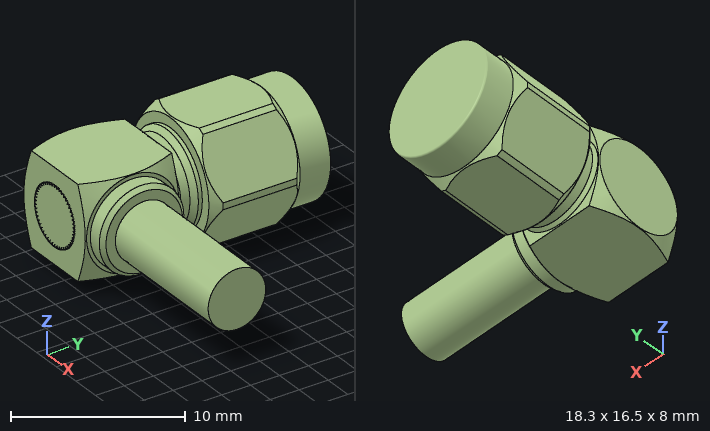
import cadquery as cq
import math


overall_length = 18.31

block_size_x = 6.35
block_size_y = 6.48
block_size_z = 6.4
block_end_diameter = block_size_x
block_chamfer_angle = 30.0

cap_diameter = 4.06
cap_depth = 0.5
knurl_count = 50
knurl_depth = 0.15
knurl_width = 0.154

neck_diameter = 5.85
neck_length = 1.52
neck_base_length = 0.27
neck_base_flare = 0.16
flange_diameter = 6.54
flange_rim = 0.27

collar_diameter = 5.85
collar_length = 1.19
collar_chamfer = 0.27
tube_diameter = 4.0

nut_across_flats = 8.0
nut_corner_diameter = 8.99
nut_length = 6.3
nut_end_diameter = 7.87
nut_chamfer_length = 0.6
sleeve_diameter = nut_end_diameter
sleeve_length = 2.2
sleeve_fillet = 0.15

block_half_x = block_size_x / 2
block_half_y = block_size_y / 2
collar_end = block_half_x + collar_length
tube_end = overall_length - nut_corner_diameter / 2
nut_start = block_half_y + neck_length
nut_end = nut_start + nut_length
sleeve_end = nut_end + sleeve_length


def turned_about_x(profile):
    """Revolve a profile of (x, radius) points about the X axis."""
    outline = cq.Workplane("XY").polyline(profile).close()
    return outline.revolve(360, (0, 0, 0), (1, 0, 0))


def turned_about_y(profile):
    """Revolve a profile of (radius, y) points about the Y axis."""
    outline = cq.Workplane("XY").polyline(profile).close()
    return outline.revolve(360, (0, 0, 0), (0, 1, 0))


def front_disc():
    """Disc that fills the round recess in the block's front face."""
    front_face = cq.Workplane("XZ", origin=(0, -block_half_y, 0))
    return front_face.circle(cap_diameter / 2).extrude(-cap_depth)


def make_block():
    """Square block trimmed by two cones that meet base to base at its middle."""
    end_radius = block_end_diameter / 2
    middle_radius = end_radius + block_half_x / math.tan(math.radians(block_chamfer_angle))
    cones = turned_about_x([
        (-block_half_x, 0),
        (-block_half_x, end_radius),
        (0, middle_radius),
        (block_half_x, end_radius),
        (block_half_x, 0),
    ])
    return cq.Workplane("XY").box(block_size_x, block_size_y, block_size_z).intersect(cones)


def make_neck():
    """Round neck that widens at the block and flares at 45 degrees into the flange."""
    neck_radius = neck_diameter / 2
    flange_radius = flange_diameter / 2
    rim_start = nut_start - flange_rim
    return turned_about_y([
        (0, block_half_y),
        (neck_radius + neck_base_flare, block_half_y),
        (neck_radius, block_half_y + neck_base_length),
        (neck_radius, rim_start - (flange_radius - neck_radius)),
        (flange_radius, rim_start),
        (flange_radius, nut_start),
        (0, nut_start),
    ])


def make_collar_and_tube():
    """Chamfered collar on the block's side, carrying the cable tube."""
    collar_radius = collar_diameter / 2
    tube_radius = tube_diameter / 2
    return turned_about_x([
        (block_half_x, 0),
        (block_half_x, collar_radius),
        (collar_end - collar_chamfer, collar_radius),
        (collar_end, collar_radius - collar_chamfer),
        (collar_end, tube_radius),
        (tube_end, tube_radius),
        (tube_end, 0),
    ])


def make_body():
    """Elbow body: block, neck, collar and tube, with a round recess for the cap."""
    return make_block().union(make_neck()).union(make_collar_and_tube()).cut(front_disc())


def make_cap():
    """Disc with V-shaped knurl grooves around its rim."""
    cap_radius = cap_diameter / 2
    root_radius = cap_radius - knurl_depth
    groove = (
        cq.Workplane("XZ", origin=(0, -block_half_y, 0))
        .polyline([
            (0, root_radius),
            (knurl_width, root_radius + 2 * knurl_depth),
            (-knurl_width, root_radius + 2 * knurl_depth),
        ])
        .close()
        .extrude(-cap_depth)
        .val()
    )
    y_axis = (cq.Vector(0, 0, 0), cq.Vector(0, 1, 0))
    grooves = [groove.rotate(*y_axis, i * 360 / knurl_count) for i in range(knurl_count)]
    return cq.Workplane(front_disc().val().cut(*grooves).Solids()[0])


def make_nut():
    """Hexagon nut with trimmed corners and chamfered ends, joined to a sleeve with a rounded end."""
    hexagon_diameter = nut_across_flats / math.cos(math.radians(30))
    hexagon = (
        cq.Workplane("XZ", origin=(0, nut_start, 0))
        .polygon(6, hexagon_diameter)
        .extrude(-nut_length)
    )
    end_radius = nut_end_diameter / 2
    corner_radius = nut_corner_diameter / 2
    trim = turned_about_y([
        (0, nut_start),
        (end_radius, nut_start),
        (corner_radius, nut_start + nut_chamfer_length),
        (corner_radius, nut_end - nut_chamfer_length),
        (end_radius, nut_end),
        (0, nut_end),
    ])
    sleeve_radius = sleeve_diameter / 2
    sleeve = turned_about_y([
        (0, nut_end),
        (sleeve_radius, nut_end),
        (sleeve_radius, sleeve_end),
        (0, sleeve_end),
    ])
    return hexagon.intersect(trim).union(sleeve).faces(">Y").edges().fillet(sleeve_fillet)


body = make_body()
cap = make_cap()
nut = make_nut()

result = cq.Compound.makeCompound([body.val(), cap.val(), nut.val()])